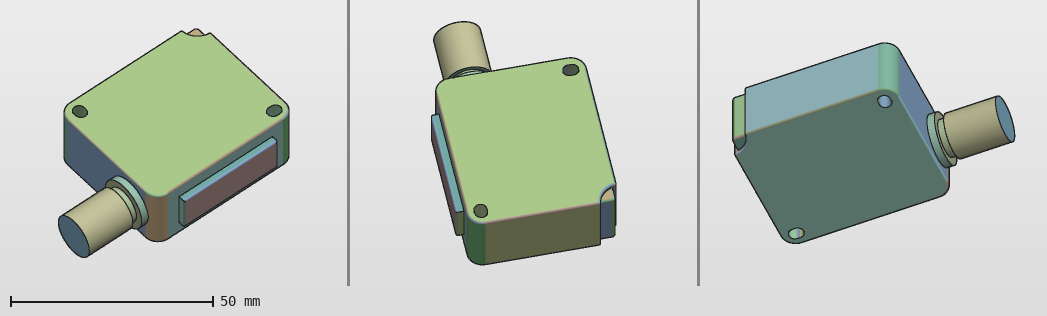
import cadquery as cq

body_x = 38.0
body_y = 45.0
body_z = 18.0
corner_radius = 4.0
edge_radius = 0.5

notch_radius = 5.0
insert_setback = 1.0
insert_size = 9.45
insert_corner_radius = 1.0

pad_thickness = 2.0
pad_y = 30.0
pad_z = 10.0

slot_length = 4.0
slot_width = 3.2
slot_inset = 4.0
rear_slot_inset_x = 3.5

connector_x = 28.0
flange_radius = 7.0
flange_length = 2.0
neck_radius = 5.0
neck_length = 2.0
barrel_radius = 6.0
overall_length = 63.0
barrel_length = overall_length - body_y - flange_length - neck_length


def make_housing():
    outline = (
        cq.Workplane("XY", origin=(0, 0, -body_z / 2))
        .lineTo(body_x, 0)
        .lineTo(body_x, body_y)
        .lineTo(notch_radius, body_y)
        .radiusArc((0, body_y - notch_radius), notch_radius)
        .close()
    )
    block = outline.extrude(body_z)
    block = block.edges("|Z").edges("<Y or >X").fillet(corner_radius)
    scallop_region = cq.selectors.BoxSelector(
        (-edge_radius, body_y - notch_radius - edge_radius, -body_z),
        (notch_radius + edge_radius, body_y + edge_radius, body_z),
    )
    block = block.edges(scallop_region).edges("|Z").fillet(edge_radius)
    return block.faces("<Z or >Z").edges().fillet(edge_radius)


def make_corner_insert():
    insert = (
        cq.Workplane("XY")
        .box(insert_size, insert_size, body_z - 2 * insert_setback, centered=(False, False, True))
        .edges("|Z and <X and >Y")
        .fillet(insert_corner_radius)
        .faces("<Z or >Z")
        .edges()
        .fillet(edge_radius)
    )
    return insert.translate((insert_setback, body_y - insert_setback - insert_size, 0))


def make_pad():
    pad = cq.Workplane("XY").box(2 * pad_thickness, pad_y, pad_z)
    return pad.faces(">X").edges().fillet(edge_radius).translate((body_x, body_y / 2, 0))


def make_connector():
    flange = cq.Workplane("XZ", origin=(connector_x, corner_radius, 0))
    flange = flange.circle(flange_radius).extrude(corner_radius + flange_length)
    neck = flange.faces("<Y").workplane().circle(neck_radius).extrude(neck_length)
    return neck.faces("<Y").workplane().circle(barrel_radius).extrude(barrel_length)


def make_slot(x, y, angle):
    slot = cq.Workplane("XY").center(x, y).slot2D(slot_length, slot_width, angle)
    return slot.extrude(body_z, both=True)


result = make_housing()
for feature in (make_corner_insert(), make_pad(), make_connector()):
    result = result.union(feature)
result = result.cut(make_slot(slot_inset, slot_inset, 0))
result = result.cut(make_slot(body_x - rear_slot_inset_x, body_y - slot_inset, 90))